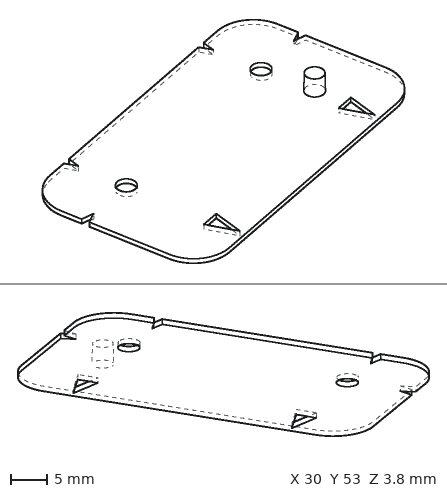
import cadquery as cq

plate_width = 30.0
plate_length = 53.0
plate_thickness = 0.8
corner_radius = 6.0

edge_offset = 10.0
lower_row = edge_offset
upper_row = plate_length - edge_offset
hole_column = edge_offset
pin_column = 19.0

hole_diameter = 3.0
pin_base_diameter = hole_diameter
pin_top_diameter = 2.85
total_height = 3.8
pin_height = total_height - plate_thickness

window_base_x = 24.0
window_length = 5.0
window_width = hole_diameter

notch_depth = 2.0
notch_width = 1.2


def triangle_cutter(base_x, base_y, length, width, direction):
    """Through-cutting triangle whose tip points along direction (degrees from +X)."""
    return (
        cq.Workplane("XY")
        .polyline([(0, -width / 2), (length, 0), (0, width / 2)])
        .close()
        .extrude(plate_thickness)
        .rotate((0, 0, 0), (0, 0, 1), direction)
        .translate((base_x, base_y, 0))
    )


plate = (
    cq.Workplane("XY")
    .box(plate_width, plate_length, plate_thickness, centered=False)
    .edges("|Z")
    .fillet(corner_radius)
)

for row in (lower_row, upper_row):
    hole = (
        cq.Workplane("XY")
        .center(hole_column, row)
        .circle(hole_diameter / 2)
        .extrude(plate_thickness)
    )
    window = triangle_cutter(window_base_x, row, window_length, window_width, 0)
    side_notch = triangle_cutter(0, row, notch_depth, notch_width, 0)
    plate = plate.cut(hole).cut(window).cut(side_notch)

for end_y, direction in ((0, 90), (plate_length, -90)):
    plate = plate.cut(triangle_cutter(hole_column, end_y, notch_depth, notch_width, direction))

pin = (
    cq.Workplane("XY", origin=(pin_column, upper_row, plate_thickness))
    .circle(pin_base_diameter / 2)
    .workplane(offset=pin_height)
    .circle(pin_top_diameter / 2)
    .loft()
)

result = plate.union(pin)